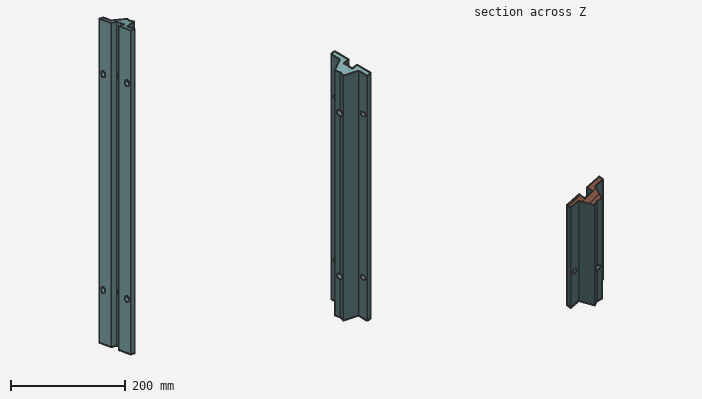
import cadquery as cq

length = 600.0
width = 84.0
height = 36.5

flange_thickness = 9.5
rib_base_width = 43.0
rib_top_width = 20.0
notch_depth = 3.0
channel_width = 20.0
channel_depth = 12.5

flange_hole_diameter = 11.0
rib_hole_diameter = 13.0
flange_hole_spacing = 63.5
hole_end_distance = 100.0

right_half = [
    (channel_width / 2, channel_depth),
    (channel_width / 2, 0),
    (width / 2, 0),
    (width / 2, flange_thickness),
    (rib_base_width / 2, flange_thickness),
    (rib_top_width / 2, height),
]
left_half = [(-x, y) for x, y in reversed(right_half)]
notch_bottom = (0, height - notch_depth)


def make_rail():
    """Constant section: two flanges, a tapered rib with a V-notch and a channel below."""
    outline = right_half + [notch_bottom] + left_half
    return cq.Workplane("XY").polyline(outline).close().extrude(length)


def make_hole(x, z, diameter):
    """Cutter along Y through the full height of the section."""
    direction = cq.Vector(0, 1, 0)
    cutter = cq.Solid.makeCylinder(diameter / 2, height, cq.Vector(x, 0, z), direction)
    return cq.Workplane(cutter)


result = make_rail()
for z in (hole_end_distance, length - hole_end_distance):
    result = result.cut(make_hole(0, z, rib_hole_diameter))
    for x in (-flange_hole_spacing / 2, flange_hole_spacing / 2):
        result = result.cut(make_hole(x, z, flange_hole_diameter))